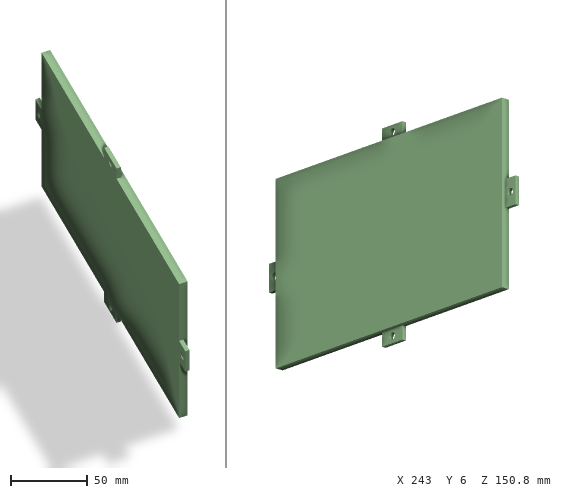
import cadquery as cq

overall_length = 243.0
overall_height = 150.8
overall_thickness = 6.0
tab_reach = 10.0
tab_width = 20.0
hole_diameter = 5.0

panel_length = overall_length - 2 * tab_reach
panel_height = overall_height - 2 * tab_reach
plate_thickness = overall_thickness / 2
hole_x = (overall_length - tab_reach) / 2
hole_z = (overall_height - tab_reach) / 2
hole_centers = [(-hole_x, 0), (hole_x, 0), (0, -hole_z), (0, hole_z)]


def plate(length, height, front_y):
    """Rectangular plate centered on the Y axis, with its front face at front_y."""
    return cq.Workplane("XY").box(
        length, plate_thickness, height, centered=(True, False, True)
    ).translate((0, front_y, 0))


def make_mounting_plate():
    """Front plate with a drilled tab at the middle of each of its four edges."""
    panel = plate(panel_length, panel_height, 0)
    side_tabs = plate(overall_length, tab_width, 0)
    end_tabs = plate(tab_width, overall_height, 0)
    tabbed_panel = panel.union(side_tabs).union(end_tabs).clean()
    holes = (
        cq.Workplane("XZ")
        .pushPoints(hole_centers)
        .circle(hole_diameter / 2)
        .extrude(-plate_thickness)
    )
    return tabbed_panel.cut(holes).solids()


def make_backing_panel():
    """Plain plate lying flat against the back of the mounting plate."""
    return plate(panel_length, panel_height, plate_thickness)


mounting_plate = make_mounting_plate()
backing_panel = make_backing_panel()

result = cq.Compound.makeCompound([mounting_plate.val(), backing_panel.val()])